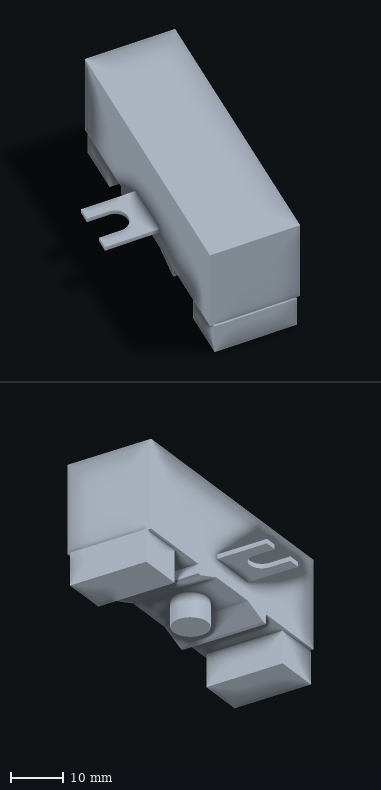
import cadquery as cq

total_length = 58.15
total_height = 26.9
total_depth = 30.6

body_length = 57.3
body_depth = 19.1

foot_length = 10.0
foot_depth = 17.45
foot_height = 7.2
body_height = total_height - foot_height

lug_outer_x = 12.0
lug_flat_x = 11.05
lug_inner_x = 5.5
lug_height = 2.1

post_diameter = 7.8
post_height = 5.45

tab_width = 11.05
tab_thickness = 1.0
tab_bottom_z = 4.0
tab_length = total_depth - body_depth
slot_width = 5.5
slot_depth = 7.45


def make_body():
    return cq.Workplane("XY").box(
        body_length, body_depth, body_height, centered=(True, True, False)
    )


def make_foot(side):
    center_x = side * (total_length - foot_length) / 2
    return (
        cq.Workplane("XY")
        .center(center_x, 0)
        .rect(foot_length, foot_depth)
        .extrude(-foot_height)
    )


def make_lug(side):
    """Wedge across the full depth, sloping up toward the middle."""
    return (
        cq.Workplane("XZ")
        .moveTo(side * lug_inner_x, 0)
        .lineTo(side * lug_flat_x, -lug_height)
        .lineTo(side * lug_outer_x, -lug_height)
        .lineTo(side * lug_outer_x, 0)
        .close()
        .extrude(body_depth / 2, both=True)
    )


def make_post():
    return cq.Workplane("XY").circle(post_diameter / 2).extrude(-post_height)


def make_tab():
    """Flat tab with a round-ended slot open at its free end."""
    half_width = tab_width / 2
    slot_radius = slot_width / 2
    root_y = -body_depth / 2
    tip_y = root_y - tab_length
    slot_end_y = tip_y + slot_depth
    arc_start_y = slot_end_y - slot_radius
    return (
        cq.Workplane("XY", origin=(0, 0, tab_bottom_z))
        .moveTo(-half_width, root_y)
        .lineTo(-half_width, tip_y)
        .lineTo(-slot_radius, tip_y)
        .lineTo(-slot_radius, arc_start_y)
        .threePointArc((0, slot_end_y), (slot_radius, arc_start_y))
        .lineTo(slot_radius, tip_y)
        .lineTo(half_width, tip_y)
        .lineTo(half_width, root_y)
        .close()
        .extrude(tab_thickness)
    )


result = make_body().union(make_post()).union(make_tab())
for side in (-1, 1):
    result = result.union(make_foot(side)).union(make_lug(side))